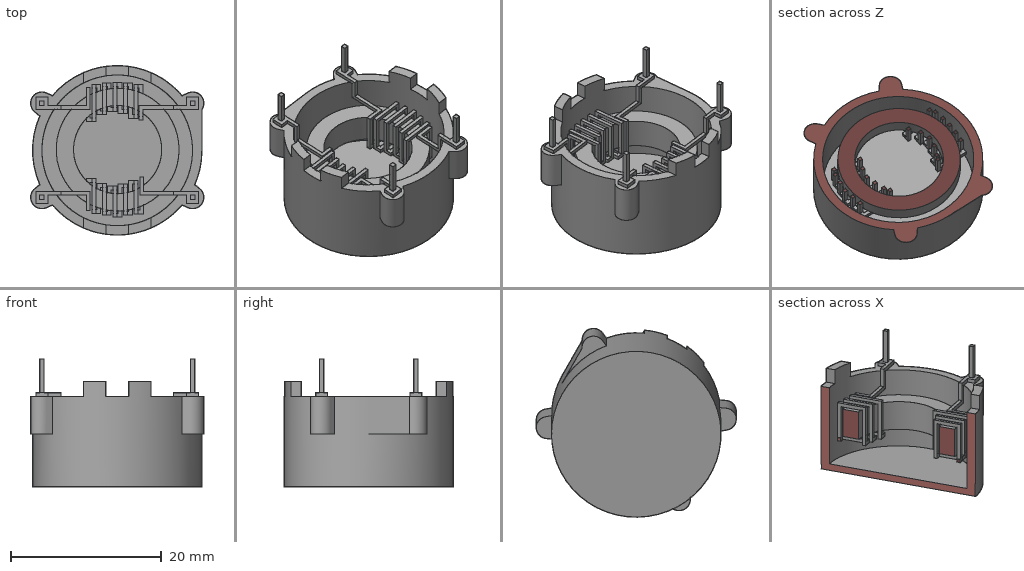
import cadquery as cq
import math

housing_radius = 11.25
cavity_radius = 10.0
rim_height = 12.0
floor_thickness = 1.0

tab_height = 2.0
tab_inner_x = 1.5
tab_outer_x = 4.5

post_x = 10.0
post_y = 6.25
post_radius = 1.5
post_height = 5.0
post_flare_angle = 8.0
post_root_length = 2.0

core_outer_radius = 8.15
core_bore_radius = 5.85
core_center = (0.05, 0.1)
core_height = 4.0

wire = 0.5
coil_bottom = 4.5
coil_top = 10.0
core_bottom = (coil_bottom + coil_top - core_height) / 2
return_start_x = -4.1
turn_pitch = 1.4
top_bar_offset = 0.75

rear_outer_ends = [8.35, 8.75, 8.95, 9.0, 8.95, 8.75]
front_outer_ends = [8.0, 8.35, 8.6, 8.85, 8.6, 8.45]
rear_inner_ends = [3.8, 4.75, 5.15, 4.9, 4.25, 4.0]
front_inner_ends = [3.75, 4.4, 4.75, 4.45, 4.0, 3.55]
rear_exit_shift = 0.0
front_exit_shift = 0.1

pad_size = 1.6
pin_size = 0.6
pin_top = 17.0
lead_drop_x = 7.45
lead_inner_y = post_y - pad_size / 2
lead_outer_y = lead_inner_y + wire
pad_top = rim_height + wire


def box(x_range, y_range, z_range):
    """Axis-aligned box between the given limits."""
    (x0, x1), (y0, y1), (z0, z1) = x_range, y_range, z_range
    return cq.Workplane("XY").box(x1 - x0, y1 - y0, z1 - z0, centered=False).translate((x0, y0, z0))


def post(side_x, side_y):
    """Round post whose flanks flare out towards the housing wall."""
    flare = math.radians(post_flare_angle)
    tangent_u = -post_radius * math.sin(flare)
    tangent_v = post_radius * math.cos(flare)
    root_v = tangent_v + (post_root_length - tangent_u) * math.tan(flare)
    root = (
        cq.Workplane("XY")
        .polyline([
            (tangent_u, -tangent_v),
            (post_root_length, -root_v),
            (post_root_length, root_v),
            (tangent_u, tangent_v),
        ])
        .close()
        .extrude(post_height)
    )
    inward_angle = math.degrees(math.atan2(-side_y * post_y, -side_x * post_x))
    barrel = cq.Workplane("XY").circle(post_radius).extrude(post_height)
    return (
        barrel.union(root)
        .rotate((0, 0, 0), (0, 0, 1), inward_angle)
        .translate((side_x * post_x, side_y * post_y, rim_height - post_height))
    )


def make_housing():
    tab_top = rim_height + tab_height
    body = cq.Workplane("XY").circle(housing_radius).extrude(rim_height)

    for side_x in (-1, 1):
        x_range = sorted((side_x * tab_inner_x, side_x * tab_outer_x))
        strip = box(x_range, (-housing_radius, housing_radius), (rim_height, tab_top))
        tabs = strip.intersect(cq.Workplane("XY").circle(housing_radius).extrude(tab_top))
        body = body.union(tabs)

    for side_x in (-1, 1):
        for side_y in (-1, 1):
            body = body.union(post(side_x, side_y))

    web_z = (rim_height - post_height, rim_height)
    web = box((post_x - post_radius, housing_radius), (0, post_y), web_z)
    body = body.union(web)

    cavity = cq.Workplane("XY").workplane(offset=floor_thickness).circle(cavity_radius).extrude(tab_top)
    return body.cut(cavity)


def make_core():
    return (
        cq.Workplane("XY")
        .workplane(offset=core_bottom)
        .center(*core_center)
        .circle(core_outer_radius)
        .circle(core_bore_radius)
        .extrude(core_height)
    )


def terminal(side_x, coil_x):
    """Pin, pad and lead running down inside the wall and across to the coil."""
    lead_y = (lead_inner_y, lead_outer_y)
    drop_outer_x = lead_drop_x + wire
    drop_x = sorted((side_x * lead_drop_x, side_x * drop_outer_x))
    rim_arm_x = sorted((side_x * lead_drop_x, side_x * post_x))
    coil_arm_x = sorted((side_x * drop_outer_x, coil_x))

    pad_center = (side_x * post_x, post_y)
    pad = (
        cq.Workplane("XY")
        .workplane(offset=rim_height)
        .center(*pad_center)
        .rect(pad_size, pad_size)
        .extrude(wire)
    )
    pin = (
        cq.Workplane("XY")
        .workplane(offset=rim_height)
        .center(*pad_center)
        .rect(pin_size, pin_size)
        .extrude(pin_top - rim_height)
    )
    rim_arm = box(rim_arm_x, lead_y, (rim_height, pad_top))
    drop = box(drop_x, lead_y, (coil_top - wire, pad_top))
    coil_arm = box(coil_arm_x, lead_y, (coil_top - wire, coil_top))
    return pad.union(pin).union(rim_arm).union(drop).union(coil_arm)


def make_winding(outer_ends, inner_ends, exit_shift):
    """Square-wire winding on the +Y side of the core with its two terminals."""
    turns = len(outer_ends)
    top_z = (coil_top - wire, coil_top)
    leg_z = (coil_bottom, coil_top)
    foot_z = (coil_bottom, coil_bottom + wire)

    return_x = [return_start_x + k * turn_pitch for k in range(turns)]
    bar_x = [return_start_x] + [x + top_bar_offset for x in return_x]
    return_x[-1] += exit_shift
    bar_x[-1] = return_x[-1]

    winding = terminal(-1, bar_x[0] + wire).union(terminal(1, bar_x[-1]))
    for k in range(turns):
        outer = outer_ends[k]
        inner = inner_ends[k]
        outer_leg_y = (outer - wire, outer)
        inner_leg_y = (inner, inner + wire)
        start_x = bar_x[k]
        back_x = return_x[k]
        next_x = bar_x[k + 1]

        bar_inner = lead_inner_y if k == 0 else inner_ends[k - 1]
        winding = winding.union(box((start_x, start_x + wire), (bar_inner, outer), top_z))
        winding = winding.union(box((start_x, start_x + wire), outer_leg_y, leg_z))
        winding = winding.union(box((start_x, back_x + wire), outer_leg_y, foot_z))
        winding = winding.union(box((back_x, back_x + wire), (inner, outer), foot_z))
        winding = winding.union(box((back_x, next_x + wire), inner_leg_y, foot_z))
        winding = winding.union(box((next_x, next_x + wire), inner_leg_y, leg_z))

    exit_bar = box((bar_x[-1], bar_x[-1] + wire), (inner_ends[-1], lead_outer_y), top_z)
    return winding.union(exit_bar)


housing = make_housing()
core = make_core()
rear_winding = make_winding(rear_outer_ends, rear_inner_ends, rear_exit_shift)
front_winding = make_winding(front_outer_ends, front_inner_ends, front_exit_shift).mirror("XZ")

result = cq.Compound.makeCompound([
    housing.val(),
    core.val(),
    rear_winding.val(),
    front_winding.val(),
])